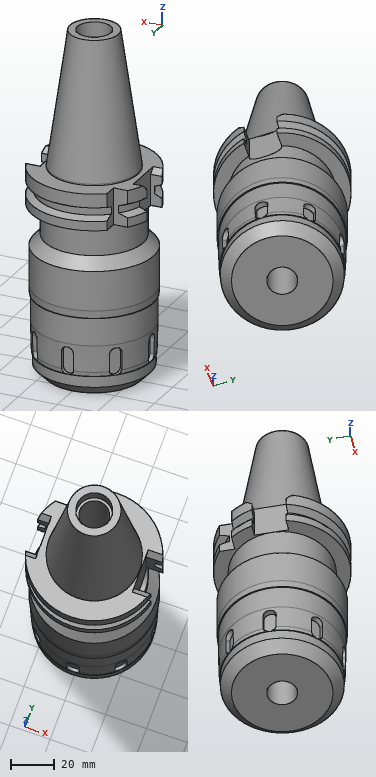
import cadquery as cq

TOTAL_HEIGHT = 173.4
NOSE_CHAMFER_TOP = 5.2
NUT_BOTTOM = 10.8
NUT_WAIST = 13.0
NUT_TOP = 26.5
COLLAR_BOTTOM = 40.5
COLLAR_TAPER_TOP = 44.5
SHOULDER_BOTTOM = 64.5
SHOULDER_TOP = 70.2
FLANGE_BOTTOM = 85.8
FLANGE_TOP = 104.4
GAUGE_LINE = 105.0

NOSE_RADIUS = 23.4
NOSE_BAND_RADIUS = 28.6
NUT_BOTTOM_RADIUS = 29.0
NUT_WAIST_RADIUS = 29.1
SLEEVE_RADIUS = 29.5
COLLAR_RADIUS = 30.0
BODY_RADIUS = 30.2
NECK_RADIUS = 25.0
FLANGE_RADIUS = 31.7
GAUGE_RADIUS = 22.2
TAPER_TOP_RADIUS = 12.3

GROOVE_FLOOR_RADIUS = 28.1
GROOVE_CENTRE = 94.0
GROOVE_FLOOR_WIDTH = 3.6
GROOVE_MOUTH_WIDTH = 7.0

DRIVE_SLOT_WIDTH = 16.1
DRIVE_SLOT_CHAMFER = 2.8
LEFT_SLOT_FLAT = NECK_RADIUS
RIGHT_SLOT_FLAT = 22.5

NOTCH_OFFSET = 18.5

WRENCH_SLOT_COUNT = 8
WRENCH_SLOT_WIDTH = 6.0
WRENCH_SLOT_BOTTOM = 10.5
WRENCH_SLOT_TOP = 24.8
WRENCH_SLOT_FLOOR = 26.9

BORE_RADIUS = 7.1
COUNTERBORE_RADIUS = 8.5
COUNTERBORE_DEPTH = 7.8


def turned_body():
    """Half profile of the whole holder, as radius and height, revolved about Z."""
    profile = [
        (0, 0),
        (NOSE_RADIUS, 0),
        (NOSE_BAND_RADIUS, NOSE_CHAMFER_TOP),
        (NOSE_BAND_RADIUS, NUT_BOTTOM),
        (NUT_BOTTOM_RADIUS, NUT_BOTTOM),
        (NUT_WAIST_RADIUS, NUT_WAIST),
        (SLEEVE_RADIUS, NUT_TOP),
        (SLEEVE_RADIUS, COLLAR_BOTTOM),
        (COLLAR_RADIUS, COLLAR_BOTTOM),
        (BODY_RADIUS, COLLAR_TAPER_TOP),
        (BODY_RADIUS, SHOULDER_BOTTOM),
        (NECK_RADIUS, SHOULDER_TOP),
        (NECK_RADIUS, FLANGE_BOTTOM),
        (FLANGE_RADIUS, FLANGE_BOTTOM),
        (FLANGE_RADIUS, GROOVE_CENTRE - GROOVE_MOUTH_WIDTH / 2),
        (GROOVE_FLOOR_RADIUS, GROOVE_CENTRE - GROOVE_FLOOR_WIDTH / 2),
        (GROOVE_FLOOR_RADIUS, GROOVE_CENTRE + GROOVE_FLOOR_WIDTH / 2),
        (FLANGE_RADIUS, GROOVE_CENTRE + GROOVE_MOUTH_WIDTH / 2),
        (FLANGE_RADIUS, FLANGE_TOP),
        (GAUGE_RADIUS, FLANGE_TOP),
        (GAUGE_RADIUS, GAUGE_LINE),
        (TAPER_TOP_RADIUS, TOTAL_HEIGHT),
        (0, TOTAL_HEIGHT),
    ]
    return cq.Workplane("XZ").polyline(profile).close().revolve(360, (0, 0), (0, 1))


def drive_slot(inner_x, outer_x):
    """Slot across the flange, with chamfered upper edges, spanning X from inner_x to outer_x."""
    half = DRIVE_SLOT_WIDTH / 2
    mouth = half + DRIVE_SLOT_CHAMFER
    outline = [
        (-half, FLANGE_BOTTOM),
        (half, FLANGE_BOTTOM),
        (half, FLANGE_TOP - DRIVE_SLOT_CHAMFER),
        (mouth, FLANGE_TOP),
        (-mouth, FLANGE_TOP),
        (-half, FLANGE_TOP - DRIVE_SLOT_CHAMFER),
    ]
    slot = cq.Workplane("YZ").polyline(outline).close().extrude(outer_x - inner_x)
    return slot.translate((inner_x, 0, 0))


def slot_runout():
    """Half-round end of the deeper +X slot, cut into the neck just below the flange."""
    return (
        cq.Workplane("YZ", origin=(RIGHT_SLOT_FLAT, 0, FLANGE_BOTTOM))
        .circle(DRIVE_SLOT_WIDTH / 2)
        .extrude(NECK_RADIUS - RIGHT_SLOT_FLAT)
    )


def orientation_notch():
    """Square corner through the flange on its -X, +Y side."""
    return (
        cq.Workplane("XY", origin=(-NOTCH_OFFSET, NOTCH_OFFSET, FLANGE_BOTTOM))
        .rect(-FLANGE_RADIUS, FLANGE_RADIUS, centered=False)
        .extrude(FLANGE_TOP - FLANGE_BOTTOM)
    )


def wrench_slots():
    """Flat-bottomed upright obrounds spaced evenly around the nut."""
    length = WRENCH_SLOT_TOP - WRENCH_SLOT_BOTTOM
    middle = (WRENCH_SLOT_TOP + WRENCH_SLOT_BOTTOM) / 2
    slot = (
        cq.Workplane("YZ", origin=(WRENCH_SLOT_FLOOR, 0, middle))
        .slot2D(length, WRENCH_SLOT_WIDTH, 90)
        .extrude(BODY_RADIUS - WRENCH_SLOT_FLOOR)
    )
    pitch = 360 / WRENCH_SLOT_COUNT
    return [slot.rotate((0, 0, 0), (0, 0, 1), index * pitch) for index in range(WRENCH_SLOT_COUNT)]


def axial_bore():
    """Through bore with a shallow counterbore at the top of the taper."""
    bore = cq.Workplane("XY").circle(BORE_RADIUS).extrude(TOTAL_HEIGHT)
    counterbore = (
        cq.Workplane("XY", origin=(0, 0, TOTAL_HEIGHT - COUNTERBORE_DEPTH))
        .circle(COUNTERBORE_RADIUS)
        .extrude(COUNTERBORE_DEPTH)
    )
    return bore.union(counterbore)


result = turned_body()
result = result.cut(drive_slot(-FLANGE_RADIUS, -LEFT_SLOT_FLAT))
result = result.cut(drive_slot(RIGHT_SLOT_FLAT, FLANGE_RADIUS))
result = result.cut(orientation_notch())
result = result.cut(slot_runout())
for wrench_slot in wrench_slots():
    result = result.cut(wrench_slot)
result = result.cut(axial_bore())